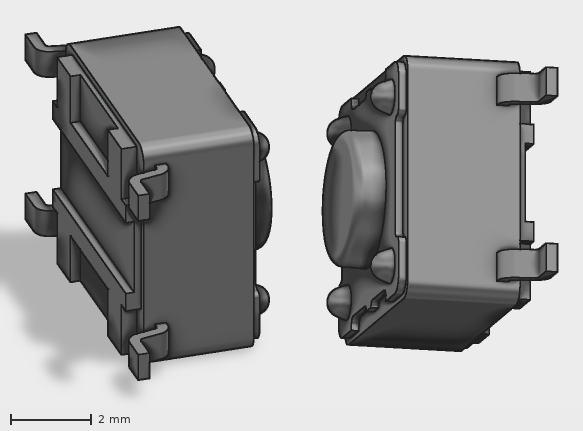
import cadquery as cq
import math


base_front = 0.2
pocket_floor = 0.46
body_front = 0.6
body_back = 3.5
plate_back = 3.7
boss_waist = 3.92
boss_tip = 4.19
button_top = 4.5

body_side = 6.2
plate_side = 5.93
corner_radius = 0.4

notch_length = 3.42
notch_depth = 0.32
end_notch_radius = 0.22
tab_top_width = 0.46
tab_height = 0.16

button_base_diameter = 3.47
button_draft = 2.0
button_edge_radius = 0.25
boss_base_diameter = 0.9
boss_waist_diameter = 0.73
boss_spacing = 4.32

base_side = 5.82
base_end_width = 5.12
base_band_width = 2.99
channel_width = 2.0
channel_depth = 0.22
pocket_width = 2.99
pocket_length = 1.31

lead_span = 9.0
lead_width = 0.72
lead_spacing = 4.5
lead_thickness = 0.3
lead_top = 1.2
foot_length = 0.68
shoulder_length = 0.13
bend_outer_radius = 0.4
lead_embedded_length = 0.31


def block(x_size, z_size, y_low, y_high):
    """Rectangular block centred on the Y axis, between two heights."""
    height = y_high - y_low
    return cq.Workplane("XY").box(x_size, height, z_size).translate((0, y_low + height / 2, 0))


def plan_at(y):
    """Sketch plane at height y with local axes X and Z; a positive extrusion goes towards -Y."""
    return cq.Workplane("XZ", origin=(0, y, 0))


def both_sides(half, mirror_plane):
    """A shape together with its mirror image."""
    return half.union(half.mirror(mirror_plane))


def end_notches():
    """Cutters for the notches in the +Z and -Z edges: rounded floor ends and a low centre tab."""
    half_length = notch_length / 2
    half_tab = tab_top_width / 2
    edge = plate_side / 2
    floor = edge - notch_depth
    half = (
        plan_at(plate_back)
        .moveTo(0, edge)
        .lineTo(half_length, edge)
        .lineTo(half_length, floor + end_notch_radius)
        .tangentArcPoint((half_length - end_notch_radius, floor), relative=False)
        .lineTo(half_tab + tab_height, floor)
        .tangentArcPoint((half_tab, floor + tab_height), relative=False)
        .lineTo(0, floor + tab_height)
        .close()
        .extrude(plate_back - body_back)
    )
    return both_sides(both_sides(half, "YZ"), "XY")


def side_notches():
    """Cutters for the notches in the -X and +X edges, which end in S-curves of two quarter arcs."""
    half_length = notch_length / 2
    arc_radius = notch_depth / 2
    edge = -plate_side / 2
    floor = edge + notch_depth
    half = (
        plan_at(plate_back)
        .moveTo(edge, 0)
        .lineTo(floor, 0)
        .lineTo(floor, half_length - notch_depth)
        .tangentArcPoint((floor - arc_radius, half_length - arc_radius), relative=False)
        .tangentArcPoint((edge, half_length), relative=False)
        .close()
        .extrude(plate_back - body_back)
    )
    return both_sides(both_sides(half, "XY"), "YZ")


def make_housing():
    return block(body_side, body_side, body_front, body_back).edges("|Y").fillet(corner_radius)


def make_plate():
    plate = block(plate_side, plate_side, body_back, plate_back).edges("|Y").fillet(corner_radius)
    return plate.cut(end_notches()).cut(side_notches())


def make_button():
    """Round button with a slight draft, narrowing upwards, and a rounded top edge."""
    height = button_top - body_back
    base = plan_at(body_back).circle(button_base_diameter / 2)
    button = base.extrude(-height, taper=button_draft)
    return button.faces(">Y").edges().fillet(button_edge_radius)


def make_boss():
    """Tapered stub with a shallow spherical dome, standing on the plate about the Y axis."""
    waist_radius = boss_waist_diameter / 2
    dome_height = boss_tip - boss_waist
    dome_radius = (waist_radius**2 + dome_height**2) / (2 * dome_height)
    half_angle = math.asin(waist_radius / dome_radius) / 2
    dome_mid = (
        dome_radius * math.sin(half_angle),
        boss_tip - dome_radius * (1 - math.cos(half_angle)),
    )
    return (
        cq.Workplane("XY")
        .moveTo(0, plate_back)
        .lineTo(boss_base_diameter / 2, plate_back)
        .lineTo(waist_radius, boss_waist)
        .threePointArc(dome_mid, (0, boss_tip))
        .close()
        .revolve(360, (0, 0, 0), (0, 1, 0))
    )


def make_base():
    """Cross-shaped moulding with a channel along X and a pocket open at each Z end."""
    base = block(base_end_width, base_side, base_front, body_front)
    base = base.union(block(base_side, base_band_width, base_front, body_front))
    base = base.cut(block(base_side, channel_width, base_front, base_front + channel_depth))
    pocket = block(pocket_width, pocket_length, base_front, pocket_floor)
    pocket_centre = (base_side - pocket_length) / 2
    return base.cut(both_sides(pocket.translate((0, 0, pocket_centre)), "XY"))


def make_lead():
    """Left lead: a strip swept along its centre line, foot to shoulder, through two equal bends."""
    bend = bend_outer_radius - lead_thickness / 2
    foot_y = lead_thickness / 2
    shoulder_y = lead_top - lead_thickness / 2
    foot_end = -lead_span / 2 + foot_length
    shoulder_start = -body_side / 2 - shoulder_length

    run = shoulder_start - foot_end
    rise = shoulder_y - foot_y - 2 * bend
    centre_distance = math.hypot(run, rise)
    leg_angle = math.atan2(rise, run) + math.asin(2 * bend / centre_distance)
    bend_x = bend * math.sin(leg_angle)
    bend_y = bend * (1 - math.cos(leg_angle))

    centre_line = (
        cq.Workplane("XY")
        .moveTo(-lead_span / 2, foot_y)
        .lineTo(foot_end, foot_y)
        .tangentArcPoint((foot_end + bend_x, foot_y + bend_y), relative=False)
        .lineTo(shoulder_start - bend_x, shoulder_y - bend_y)
        .tangentArcPoint((shoulder_start, shoulder_y), relative=False)
        .lineTo(-body_side / 2 + lead_embedded_length, shoulder_y)
    )
    section = cq.Workplane("YZ", origin=(-lead_span / 2, foot_y, 0)).rect(lead_thickness, lead_width)
    return section.sweep(centre_line)


def at_four_corners(shape, x_offset, z_offset):
    """Four mirrored copies of a shape moved into the -X, +Z corner."""
    return both_sides(both_sides(shape.translate((-x_offset, 0, z_offset)), "YZ"), "XY")


result = (
    make_housing()
    .union(make_plate())
    .union(make_button())
    .union(at_four_corners(make_boss(), boss_spacing / 2, boss_spacing / 2))
    .union(make_base())
    .union(at_four_corners(make_lead(), 0, lead_spacing / 2))
)